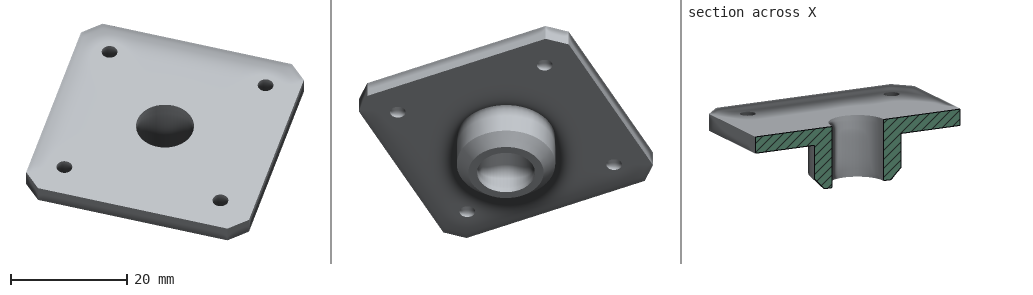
import cadquery as cq

plate_side = 40
plate_thickness = 3.0
corner_cut = 3.0

boss_diameter = 17.0
boss_height = 8
boss_chamfer = 2

bore_diameter = 10
mount_hole_diameter = 2.7
mount_hole_spacing = 28

plate = (
    cq.Workplane("XY")
    .rect(plate_side, plate_side)
    .extrude(plate_thickness)
    .edges("|Z")
    .chamfer(corner_cut)
)

boss = (
    cq.Workplane("XY")
    .circle(boss_diameter / 2)
    .extrude(-boss_height)
    .faces("<Z")
    .edges()
    .chamfer(boss_chamfer)
)

result = (
    plate.union(boss)
    .faces(">Z")
    .workplane(origin=(0, 0, 0))
    .hole(bore_diameter)
    .faces(">Z")
    .workplane(origin=(0, 0, 0))
    .rect(mount_hole_spacing, mount_hole_spacing, forConstruction=True)
    .vertices()
    .hole(mount_hole_diameter)
)